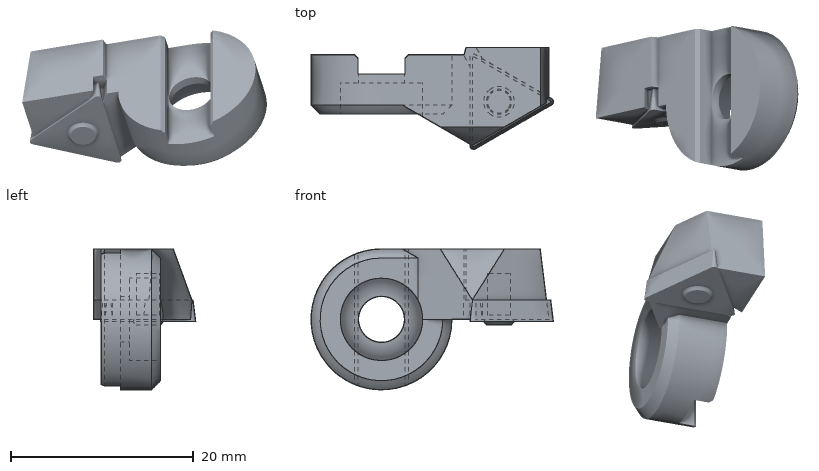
import cadquery as cq
import math

ring_radius = 7.7
ring_depth = 6.5
front_chamfer = 1.0
bore_radius = 2.5
counterbore_radius = 4.5
counterbore_depth = 3.4
key_slot_width = 5.1
key_slot_depth = 2.1
key_slot_chamfer = 0.4

flank_start_x = 4.0
flank_angle = 30.0
step_x = 9.02
step_height = 0.8
step_angle = 15.0
arm_end_x = 17.35
arm_end_relief = 7.0
nose_facet_angle = 20.0

inscribed_diameter = 6.35
corner_radius = 0.4
half_corner_angle = 30.0
rear_bisector_angle = 120.0
insert_thickness = 2.38
insert_relief = 7.0
insert_proud = 0.25
insert_left_x = 9.665
insert_front_y = -3.85
seat_overhang = 0.2
corner_relief_width = 1.6

screw_head_radius = 1.67
screw_proud = 0.35
screw_proud_taper = 0.3
screw_shank_radius = 1.25
screw_head_angle = 30.0
screw_end_z = 5.0

back_y = ring_depth + step_height
key_slot_floor_y = ring_depth - key_slot_depth
insert_bottom_z = -insert_proud
insert_top_z = insert_bottom_z + insert_thickness
corner_tan = math.tan(math.radians(half_corner_angle))
edge_length = inscribed_diameter / corner_tan
centre_to_corner = inscribed_diameter
centre_x = insert_left_x + inscribed_diameter / 2
sharp_corner_overrun = corner_radius / corner_tan - corner_radius
corner_front_y = insert_front_y - sharp_corner_overrun
corner_back_y = corner_front_y + edge_length
centre_y = (corner_front_y + corner_back_y) / 2
corner_right_x = centre_x + centre_to_corner

flank_sin = math.sin(math.radians(flank_angle))
flank_cos = math.cos(math.radians(flank_angle))
flank_tan = flank_sin / flank_cos
insert_top_inset = insert_thickness * math.tan(math.radians(insert_relief))
right_flank_offset = inscribed_diameter / 2 - insert_top_inset - seat_overhang
right_flank_y0 = centre_y - right_flank_offset / flank_cos - centre_x * flank_tan
nose_x = (flank_start_x - right_flank_y0 / flank_tan) / 2
nose_y = -(nose_x - flank_start_x) * flank_tan
arm_end_growth = ring_radius * math.tan(math.radians(arm_end_relief))
arm_bottom_end_x = arm_end_x + arm_end_growth


def cylinder_y(radius, start_y, end_y):
    """Cylinder on the ring axis."""
    return cq.Workplane("XZ", origin=(0, start_y, 0)).circle(radius).extrude(start_y - end_y)


def make_ring():
    ring = cylinder_y(ring_radius, 0, ring_depth)
    return ring.faces("<Y").chamfer(front_chamfer)


def make_shoulder():
    """Block squaring the ring into the arm, its top front edge chamfered like the ring."""
    shoulder = cq.Workplane("XY").box(flank_start_x, ring_depth, ring_radius, centered=False)
    return shoulder.edges("<Y and >Z").chamfer(front_chamfer)


def make_arm():
    step_run = step_height * math.tan(math.radians(step_angle))
    left_flank_back_x = flank_start_x - front_chamfer / flank_tan
    outline = [
        (left_flank_back_x, front_chamfer),
        (left_flank_back_x, ring_depth),
        (step_x, ring_depth),
        (step_x + step_run, back_y),
        (arm_bottom_end_x, back_y),
        (arm_bottom_end_x, right_flank_y0 + arm_bottom_end_x * flank_tan),
        (nose_x, nose_y),
    ]
    arm = cq.Workplane("XY").polyline(outline).close().extrude(ring_radius)

    end_wedge = (
        cq.Workplane("XZ", origin=(0, back_y, 0))
        .polyline([
            (arm_end_x, ring_radius),
            (arm_bottom_end_x, ring_radius),
            (arm_bottom_end_x, 0),
        ])
        .close()
        .extrude(back_y - nose_y)
    )
    facet_top_y = nose_y + (ring_radius - insert_top_z) * math.tan(math.radians(nose_facet_angle))
    nose_wedge = (
        cq.Workplane("YZ")
        .polyline([(nose_y, insert_top_z), (nose_y, ring_radius), (facet_top_y, ring_radius)])
        .close()
        .extrude(arm_end_x)
    )
    return arm.cut(end_wedge).cut(nose_wedge)


def make_key_slot():
    """Slot across the back of the ring, running in Z, with chamfered mouth."""
    half_width = key_slot_width / 2
    mouth_half_width = half_width + key_slot_chamfer
    chamfer_y = ring_depth - key_slot_chamfer
    outline = [
        (-half_width, key_slot_floor_y),
        (half_width, key_slot_floor_y),
        (half_width, chamfer_y),
        (mouth_half_width, ring_depth),
        (-mouth_half_width, ring_depth),
        (-half_width, chamfer_y),
    ]
    slot = cq.Workplane("XY", origin=(0, 0, -ring_radius)).polyline(outline).close()
    return slot.extrude(2 * ring_radius)


def make_insert_blank():
    """Insert without its screw hole; also the shape of its seat in the arm."""
    corners = [
        (insert_left_x, corner_front_y),
        (corner_right_x, centre_y),
        (insert_left_x, corner_back_y),
    ]
    profile = cq.Sketch().polygon(corners + corners[:1]).vertices().fillet(corner_radius)
    base = cq.Workplane("XY", origin=(0, 0, insert_bottom_z)).placeSketch(profile)
    return base.extrude(insert_thickness, taper=insert_relief)


def make_corner_relief():
    """Slot clearing the rear insert corner, running out along the corner's bisector."""
    start = centre_to_corner - corner_relief_width / 2 / corner_tan
    length = 2 * (back_y - centre_y) - start
    return (
        cq.Workplane("XY")
        .box(length, corner_relief_width, insert_top_z, centered=(False, True, False))
        .translate((start, 0, 0))
        .rotate((0, 0, 0), (0, 0, 1), rear_bisector_angle)
        .translate((centre_x, centre_y, 0))
    )


def make_screw():
    """Countersunk screw, its head standing proud of the insert."""
    head_height = (screw_head_radius - screw_shank_radius) / math.tan(math.radians(screw_head_angle))
    half_profile = [
        (0, insert_bottom_z - screw_proud),
        (screw_head_radius - screw_proud_taper, insert_bottom_z - screw_proud),
        (screw_head_radius, insert_bottom_z),
        (screw_shank_radius, insert_bottom_z + head_height),
        (screw_shank_radius, screw_end_z),
        (0, screw_end_z),
    ]
    profile = cq.Workplane("XZ").polyline(half_profile).close()
    return profile.revolve(360, (0, 0, 0), (0, 1, 0)).translate((centre_x, centre_y, 0))


def make_holder(insert_blank, screw):
    holder = make_ring().union(make_shoulder()).union(make_arm())
    holder = holder.cut(cylinder_y(bore_radius, 0, ring_depth))
    holder = holder.cut(cylinder_y(counterbore_radius, nose_y, counterbore_depth))
    holder = holder.cut(make_key_slot())
    return holder.cut(insert_blank).cut(make_corner_relief()).cut(screw)


screw = make_screw()
insert_blank = make_insert_blank()
insert = insert_blank.cut(screw)
holder = make_holder(insert_blank, screw)

bodies = [holder, insert, screw]
result = cq.Compound.makeCompound([body.solids().val() for body in bodies])